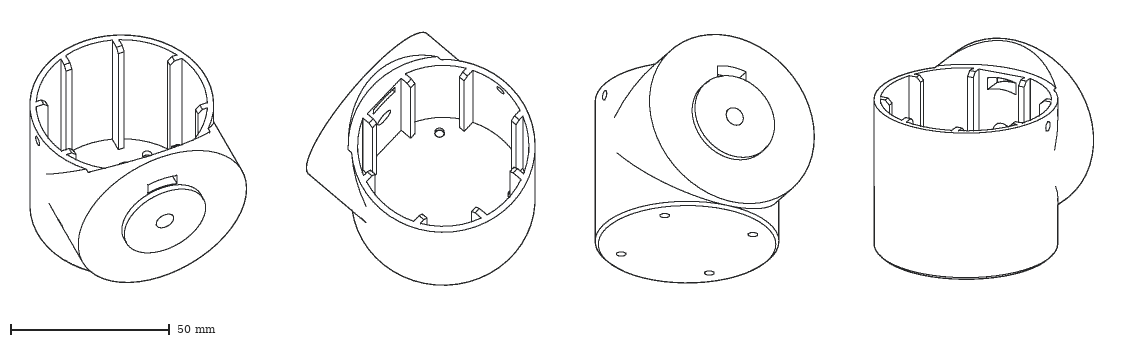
import cadquery as cq
import math

outer_radius = 29.0
cup_height = 50.0
wall = 2.0
floor_thickness = 2.0
bottom_chamfer = 1.0
inner_radius = outer_radius - wall
flat_wall_x = 25.0

barrel_end_x = 32.0
barrel_axis_z = bottom_chamfer + outer_radius
lid_clearance_radius = 30.0

spigot_radius = 14.0
spigot_length = 2.0
bore_diameter = 6.0

slot_inner_radius = 14.5
slot_outer_radius = 18.25
slot_width = 10.0

rib_thickness = 2.0
rib_tip = 21.0
rib_chamfer = 1.5
side_rib_offset = 9.0
end_rib_offset = 11.0

floor_hole_diameter = 3.0
floor_hole_offset = 15.5
wall_hole_diameter = 3.0
wall_hole_z = 46.0


def cylinder_along_x(radius, x_start, x_end):
    """Cylinder on the barrel axis between two X positions."""
    profile = cq.Workplane("YZ", origin=(x_start, 0, barrel_axis_z)).circle(radius)
    return profile.extrude(x_end - x_start)


def make_outer_body():
    """Cup and barrel as a solid, with the barrel relieved above the rim."""
    cup = cq.Workplane("XY").circle(outer_radius).extrude(cup_height)
    cup = cup.faces("<Z").edges().chamfer(bottom_chamfer)
    barrel_top = barrel_axis_z + outer_radius
    lid_space = (
        cq.Workplane("XY", origin=(0, 0, cup_height))
        .circle(lid_clearance_radius)
        .extrude(barrel_top - cup_height)
    )
    barrel = cylinder_along_x(outer_radius, 0, barrel_end_x).cut(lid_space)
    spigot = cylinder_along_x(spigot_radius, barrel_end_x, barrel_end_x + spigot_length)
    return cup.union(barrel).union(spigot)


def make_rib(offset, angle):
    """Rib pointing at the cup axis, its top inner corner chamfered.

    It is built on the +X side at Y = offset, then turned about Z by angle.
    """
    rib_root = outer_radius - wall / 2
    corner_z = cup_height - rib_chamfer
    rib = (
        cq.Workplane("XZ", origin=(0, offset + rib_thickness / 2, 0))
        .moveTo(rib_tip, 0)
        .lineTo(rib_root, 0)
        .lineTo(rib_root, cup_height)
        .lineTo(rib_tip + rib_chamfer, cup_height)
        .lineTo(rib_tip, corner_z)
        .close()
        .extrude(rib_thickness)
    )
    return rib.rotate((0, 0, 0), (0, 0, 1), angle)


def make_cavity():
    """Cup interior: round, flattened on the +X side, less the ribs."""
    depth = cup_height - floor_thickness
    cavity = cq.Workplane("XY", origin=(0, 0, floor_thickness)).circle(inner_radius).extrude(depth)
    keep_length = inner_radius + flat_wall_x
    keep_box = (
        cq.Workplane("XY", origin=(flat_wall_x - keep_length / 2, 0, 0))
        .rect(keep_length, 2 * outer_radius)
        .extrude(cup_height)
    )
    cavity = cavity.intersect(keep_box)
    for side in (-1, 1):
        for angle in (0, 180):
            cavity = cavity.cut(make_rib(side * side_rib_offset, angle))
        for angle in (90, 270):
            cavity = cavity.cut(make_rib(side * end_rib_offset, angle))
    return cavity


def make_slot():
    """Slot between two arcs on the barrel axis, with upright ends."""
    half_width = slot_width / 2
    outer_end_z = math.sqrt(slot_outer_radius**2 - half_width**2)
    inner_end_z = math.sqrt(slot_inner_radius**2 - half_width**2)
    slot_start_x = flat_wall_x - wall / 2
    return (
        cq.Workplane("YZ", origin=(slot_start_x, 0, barrel_axis_z))
        .moveTo(-half_width, inner_end_z)
        .lineTo(-half_width, outer_end_z)
        .threePointArc((0, slot_outer_radius), (half_width, outer_end_z))
        .lineTo(half_width, inner_end_z)
        .threePointArc((0, slot_inner_radius), (-half_width, inner_end_z))
        .close()
        .extrude(barrel_end_x - slot_start_x)
    )


def make_floor_holes():
    """Four screw holes through the floor, on a square."""
    spacing = 2 * floor_hole_offset
    pattern = cq.Workplane("XY").rarray(spacing, spacing, 2, 2)
    return pattern.circle(floor_hole_diameter / 2).extrude(floor_thickness)


def make_wall_hole():
    """Screw hole through the -Y wall near the rim."""
    start = cq.Workplane("XZ", origin=(0, 0, wall_hole_z))
    return start.circle(wall_hole_diameter / 2).extrude(outer_radius)


bore = cylinder_along_x(bore_diameter / 2, 0, barrel_end_x + spigot_length)

result = (
    make_outer_body()
    .cut(make_cavity())
    .cut(make_slot())
    .cut(bore)
    .cut(make_floor_holes())
    .cut(make_wall_hole())
)